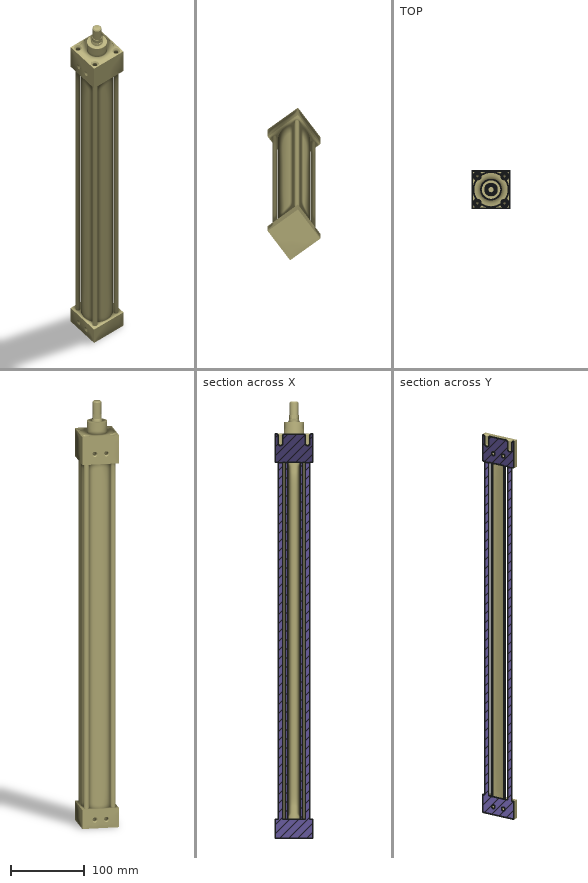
import cadquery as cq

TOTAL_LENGTH = 594.0
CAP_TOP = 27.0
HEAD_BOTTOM = 511.0
HEAD_TOP = 550.5
GLAND_TOP = 566.0
FLATS_BOTTOM = 568.0
NECK_BOTTOM = 570.0
THREAD_BOTTOM = 575.5

BLOCK_SIDE = 51.0
FACE_RADIUS = 24.0
FACE_DEPTH = 0.5
GLAND_RADIUS = 13.5

DRILL_POINT_SLOPE = 0.6
PORT_SPACING = 16.0
PORT_MOUTH_RADIUS = 3.5
PORT_RADIUS = 2.5
PORT_DEPTH = 9.0
HEAD_PORT_DROP = 25.0
CAP_PORT_DROP = 15.0
SCREW_MOUTH_RADIUS = 5.5
SCREW_RADIUS = 3.0
SCREW_DEPTH = 15.0

TUBE_RADIUS = 22.0
BORE_RADIUS = 20.0
TIE_RADIUS = 3.5
CORNER_SPACING = 37.0

ROD_RADIUS = 8.0
NECK_RADIUS = 6.5
THREAD_RADIUS = 6.0
TIP_CHAMFER = 1.0
FLAT_WIDTH = 12.0


def cylinder(radius, bottom, top):
    return cq.Workplane("XY", origin=(0, 0, bottom)).circle(radius).extrude(top - bottom)


def square_block(bottom, top):
    return cq.Workplane("XY", origin=(0, 0, bottom)).rect(BLOCK_SIDE, BLOCK_SIDE).extrude(top - bottom)


def at_corners(bottom):
    """A horizontal workplane with one point on the axis of each tie rod."""
    plane = cq.Workplane("XY", origin=(0, 0, bottom))
    return plane.rarray(CORNER_SPACING, CORNER_SPACING, 2, 2)


def drilled_hole(mouth_radius, radius, depth):
    """The space of a countersunk hole with a conical end, going down from the origin."""
    countersink_depth = mouth_radius - radius
    profile = [
        (0, 0),
        (mouth_radius, 0),
        (radius, -countersink_depth),
        (radius, -depth),
        (0, -depth - DRILL_POINT_SLOPE * radius),
    ]
    return cq.Workplane("XZ").polyline(profile).close().revolve(360, (0, 0, 0), (0, 1, 0)).val()


def ports(height):
    """The pair of air ports in the -Y face of a block."""
    hole = drilled_hole(PORT_MOUTH_RADIUS, PORT_RADIUS, PORT_DEPTH)
    hole = hole.rotate(cq.Vector(0, 0, 0), cq.Vector(1, 0, 0), 90)
    face = cq.Workplane("XY", origin=(0, -BLOCK_SIDE / 2, height))
    return face.rarray(PORT_SPACING, 6, 2, 1).eachpoint(hole.moved)


def make_cap():
    """The bottom block in one piece with the four tie rods that reach the head."""
    cap = square_block(0, CAP_TOP).cut(ports(CAP_TOP - CAP_PORT_DROP))
    tie_rods = at_corners(CAP_TOP).circle(TIE_RADIUS).extrude(HEAD_BOTTOM - CAP_TOP)
    return cap.union(tie_rods)


def make_tube():
    """The barrel, clamped between the cap and the head."""
    tube = cylinder(TUBE_RADIUS, CAP_TOP, HEAD_BOTTOM)
    return tube.cut(cylinder(BORE_RADIUS, CAP_TOP, HEAD_BOTTOM))


def make_head():
    """The top block with its rod gland, screw holes and air ports."""
    head = square_block(HEAD_BOTTOM, HEAD_TOP)
    head = head.cut(cylinder(FACE_RADIUS, HEAD_TOP - FACE_DEPTH, HEAD_TOP))
    screw_hole = drilled_hole(SCREW_MOUTH_RADIUS, SCREW_RADIUS, SCREW_DEPTH)
    head = head.cut(at_corners(HEAD_TOP).eachpoint(screw_hole.moved))
    head = head.cut(ports(HEAD_TOP - HEAD_PORT_DROP))
    head = head.union(cylinder(GLAND_RADIUS, HEAD_BOTTOM, GLAND_TOP))
    return head.cut(cylinder(ROD_RADIUS, HEAD_BOTTOM, GLAND_TOP))


def make_rod():
    """The piston rod: tapered shoulder, neck with two wrench flats, and thread."""
    profile = [
        (0, CAP_TOP),
        (ROD_RADIUS, CAP_TOP),
        (ROD_RADIUS, GLAND_TOP),
        (NECK_RADIUS, NECK_BOTTOM),
        (NECK_RADIUS, THREAD_BOTTOM),
        (THREAD_RADIUS, THREAD_BOTTOM),
        (THREAD_RADIUS, TOTAL_LENGTH - TIP_CHAMFER),
        (THREAD_RADIUS - TIP_CHAMFER, TOTAL_LENGTH),
        (0, TOTAL_LENGTH),
    ]
    rod = cq.Workplane("XZ").polyline(profile).close().revolve(360, (0, 0, 0), (0, 1, 0))
    flats_height = THREAD_BOTTOM - FLATS_BOTTOM
    between_flats = (
        cq.Workplane("XY", origin=(0, 0, FLATS_BOTTOM))
        .rect(FLAT_WIDTH, 2 * ROD_RADIUS)
        .extrude(flats_height)
    )
    outside_flats = cylinder(ROD_RADIUS, FLATS_BOTTOM, THREAD_BOTTOM).cut(between_flats)
    return rod.cut(outside_flats)


cap = make_cap()
tube = make_tube()
head = make_head()
piston_rod = make_rod()

bodies = [cap, tube, head, piston_rod]
result = cq.Compound.makeCompound([body.solids().val() for body in bodies])